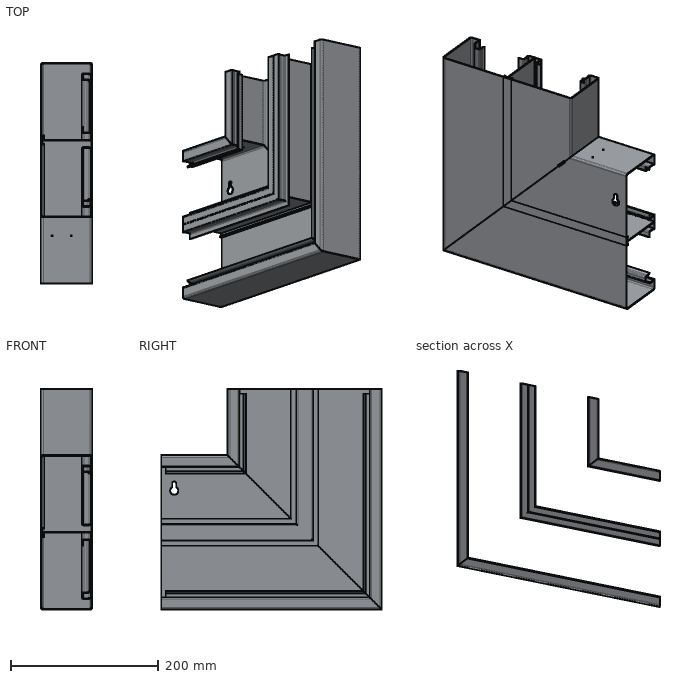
import cadquery as cq
import math

LEG_LENGTH = 299.85
DEPTH = 70.0
WIDTH = 210.0
SHEET = 1.5
BEND_RADIUS = 3.2

LIP_WIDTH = 16.5
HOOK_DEPTH = 14.0
HOOK_HEIGHT = 7.0
HOOK_BEND_RADIUS = 2.5
LIP_BEND_RADIUS = 2.0
JOGGLE = 0.8
JOGGLE_X = 65.0
CURL_X = 62.3
CURL_RADIUS = 4.0
CURL_ANGLE = 60.0
HOOK_SETBACK = 6.5

DIVIDER_POSITION = WIDTH / 2
DIVIDER_HEAD_WIDTH = 23.0
DIVIDER_FOOT_WIDTH = 13.0
DIVIDER_FOOT_HEIGHT = 3.5

KEYHOLE_Y = 17.8
KEYHOLE_Z = 161.5
KEYHOLE_DIAMETER = 10.8
KEYHOLE_NECK = 5.0
KEYHOLE_NECK_TOP = 174.0

SCREW_HOLE_XS = (15.4, 41.4)
SCREW_HOLE_Y = 65.0
SCREW_HOLE_DIAMETER = 1.6

SLOT_Y = 106.0
SLOT_LENGTH = 14.0
SLOT_WIDTH = 2.5
TAB_RECESS = 0.5

LIP_INNER_X = DEPTH - SHEET
HOOK_X = DEPTH - HOOK_DEPTH
HOOK_BEND_X = HOOK_X + HOOK_BEND_RADIUS
HOOK_BEND_Z = HOOK_BEND_RADIUS - SHEET - JOGGLE
MITRE_ANGLE = 45.0
MITRE_NORMAL = (0, 1, 1)
MITRE_POINT = (0, LEG_LENGTH, 0)


def on_circle(centre, radius, degrees):
    """The point of a circle at an angle."""
    angle = math.radians(degrees)
    return centre[0] + radius * math.cos(angle), centre[1] + radius * math.sin(angle)


def arc(section, centre, radius, start, end):
    """Continue an outline along a circle from its start angle to its end angle."""
    middle = on_circle(centre, radius, (start + end) / 2)
    return section.threePointArc(middle, on_circle(centre, radius, end))


def along_y(section, start=0.0):
    """Extrude an outline drawn on X and Z along +Y, from start to the far end of the elbow."""
    return section.extrude(start - LEG_LENGTH).translate((0, start, 0))


def bar(x_range, z_range):
    """A rectangular strip along the full length of Y."""
    (x_low, x_high), (z_low, z_high) = x_range, z_range
    section = cq.Workplane("XZ").moveTo(x_low, z_low).lineTo(x_high, z_low)
    section = section.lineTo(x_high, z_high).lineTo(x_low, z_high).close()
    return along_y(section)


def below_mitre():
    """The side of the mitre plane that belongs to the arm along Y."""
    outline = cq.Workplane("YZ").polyline([(0, 0), (LEG_LENGTH, 0), (0, LEG_LENGTH)]).close()
    return outline.extrude(DEPTH)


def across_mitre(body):
    """The mirror image of a body in the mitre plane."""
    return body.mirror(MITRE_NORMAL, MITRE_POINT)


def across_divider(body):
    """The mirror image of a body in the middle plane of the arm along Y."""
    return body.mirror("XY", (0, 0, DIVIDER_POSITION))


def hook_leg():
    """Round corner of the front strip, joggled leg, and the bend that starts the catch wall."""
    corner = (DEPTH - LIP_BEND_RADIUS, -LIP_BEND_RADIUS)
    inner_corner_radius = LIP_BEND_RADIUS - SHEET
    section = cq.Workplane("XZ").moveTo(DEPTH, -LIP_BEND_RADIUS)
    section = arc(section, corner, LIP_BEND_RADIUS, 0, 90)
    section = section.lineTo(JOGGLE_X, -JOGGLE).lineTo(HOOK_BEND_X, -JOGGLE)
    section = arc(section, (HOOK_BEND_X, HOOK_BEND_Z), HOOK_BEND_RADIUS - SHEET, 270, 180)
    section = section.lineTo(HOOK_X, HOOK_BEND_Z)
    section = arc(section, (HOOK_BEND_X, HOOK_BEND_Z), HOOK_BEND_RADIUS, 180, 270)
    section = section.lineTo(JOGGLE_X, -JOGGLE - SHEET).lineTo(corner[0], -SHEET)
    section = arc(section, corner, inner_corner_radius, 90, 0)
    return section.close()


def folded_catch():
    """Catch wall bent back toward the front, with a curled-up tip."""
    bend = (HOOK_BEND_X, HOOK_HEIGHT - HOOK_BEND_RADIUS)
    curl = (CURL_X, HOOK_HEIGHT + CURL_RADIUS)
    curl_end = 270 + CURL_ANGLE
    section = cq.Workplane("XZ").moveTo(HOOK_X, HOOK_BEND_Z).lineTo(HOOK_X, bend[1])
    section = arc(section, bend, HOOK_BEND_RADIUS, 180, 90)
    section = section.lineTo(CURL_X, HOOK_HEIGHT)
    section = arc(section, curl, CURL_RADIUS, 270, curl_end)
    section = section.lineTo(*on_circle(curl, CURL_RADIUS + SHEET, curl_end))
    section = arc(section, curl, CURL_RADIUS + SHEET, curl_end, 270)
    section = section.lineTo(HOOK_BEND_X, HOOK_HEIGHT - SHEET)
    section = arc(section, bend, HOOK_BEND_RADIUS - SHEET, 90, 180)
    return section.lineTo(HOOK_X + SHEET, HOOK_BEND_Z).close()


def channel_hook():
    """Lip leg along the full length, and a folded catch that starts a setback from the open end."""
    leg = along_y(hook_leg())
    catch = along_y(folded_catch(), HOOK_SETBACK)
    return leg.union(catch).translate((0, 0, LIP_WIDTH))


def channel_arm():
    """Folded channel along Y, open at the front between its lips and cut at the mitre."""
    outside = bar((0, DEPTH), (0, WIDTH)).edges("|Y").fillet(BEND_RADIUS)
    inside = bar((SHEET, LIP_INNER_X), (SHEET, WIDTH - SHEET))
    inside = inside.edges("|Y").fillet(BEND_RADIUS - SHEET)
    lip_end = LIP_WIDTH - LIP_BEND_RADIUS
    opening = bar((HOOK_X, DEPTH), (lip_end, WIDTH - lip_end))
    hook = channel_hook()
    arm = outside.cut(inside).cut(opening).union(hook).union(across_divider(hook))
    return arm.intersect(below_mitre())


def mitre_slot(x_low, x_high):
    """A strip lying along the mitre line, between two depths of the back sheet."""
    slot = cq.Workplane("YZ").rect(SLOT_LENGTH, SLOT_WIDTH).extrude(x_high - x_low)
    slot = slot.rotate((0, 0, 0), (1, 0, 0), -MITRE_ANGLE)
    return slot.translate((x_low, SLOT_Y, LEG_LENGTH - SLOT_Y))


def keyhole():
    """Hanging hole through the back, with its neck pointing up."""
    neck_centre = KEYHOLE_NECK_TOP - KEYHOLE_NECK / 2
    hole = cq.Workplane("YZ").center(KEYHOLE_Y, KEYHOLE_Z).circle(KEYHOLE_DIAMETER / 2).extrude(SHEET)
    neck_length = neck_centre - KEYHOLE_Z
    neck = cq.Workplane("YZ").center(KEYHOLE_Y, KEYHOLE_Z + neck_length / 2)
    neck = neck.rect(KEYHOLE_NECK, neck_length).extrude(SHEET)
    neck_end = cq.Workplane("YZ").center(KEYHOLE_Y, neck_centre).circle(KEYHOLE_NECK / 2).extrude(SHEET)
    return hole.union(neck).union(neck_end)


def screw_holes():
    """Small holes through the inner wall."""
    points = [(x, SCREW_HOLE_Y) for x in SCREW_HOLE_XS]
    holes = cq.Workplane("XY").workplane(offset=WIDTH - SHEET).pushPoints(points)
    return holes.circle(SCREW_HOLE_DIAMETER / 2).extrude(SHEET)


def divider_half():
    """The stretch of the divider along Y, up to the mitre."""
    head_low = DIVIDER_POSITION - DIVIDER_HEAD_WIDTH / 2
    head_high = DIVIDER_POSITION + DIVIDER_HEAD_WIDTH / 2
    foot_low = DIVIDER_POSITION - DIVIDER_FOOT_WIDTH / 2
    foot_high = DIVIDER_POSITION + DIVIDER_FOOT_WIDTH / 2
    web = bar(
        (SHEET, LIP_INNER_X),
        (DIVIDER_POSITION - SHEET / 2, DIVIDER_POSITION + SHEET / 2),
    )
    head = bar((LIP_INNER_X, DEPTH), (head_low + LIP_BEND_RADIUS, head_high - LIP_BEND_RADIUS))
    foot = bar((SHEET, 2 * SHEET), (foot_low, foot_high))
    leg = along_y(hook_leg()).translate((0, 0, head_high))
    catch = bar((HOOK_X, HOOK_X + SHEET), (head_high + HOOK_BEND_Z, head_high + HOOK_HEIGHT))
    foot_lip = bar((SHEET, SHEET + DIVIDER_FOOT_HEIGHT), (foot_low, foot_low + SHEET))
    half = web.union(head).union(foot)
    for rail in (leg, catch, foot_lip):
        half = half.union(rail).union(across_divider(rail))
    return half.intersect(below_mitre())


slotted_arm = channel_arm().cut(mitre_slot(0, SHEET))
joint_tab = mitre_slot(TAB_RECESS, SHEET)
lower_arm = slotted_arm.union(joint_tab).cut(keyhole()).cut(screw_holes())
upper_arm = across_mitre(slotted_arm)
divider_run = divider_half()
divider = divider_run.union(across_mitre(divider_run))

result = cq.Compound.makeCompound([lower_arm.val(), upper_arm.val(), divider.val()])